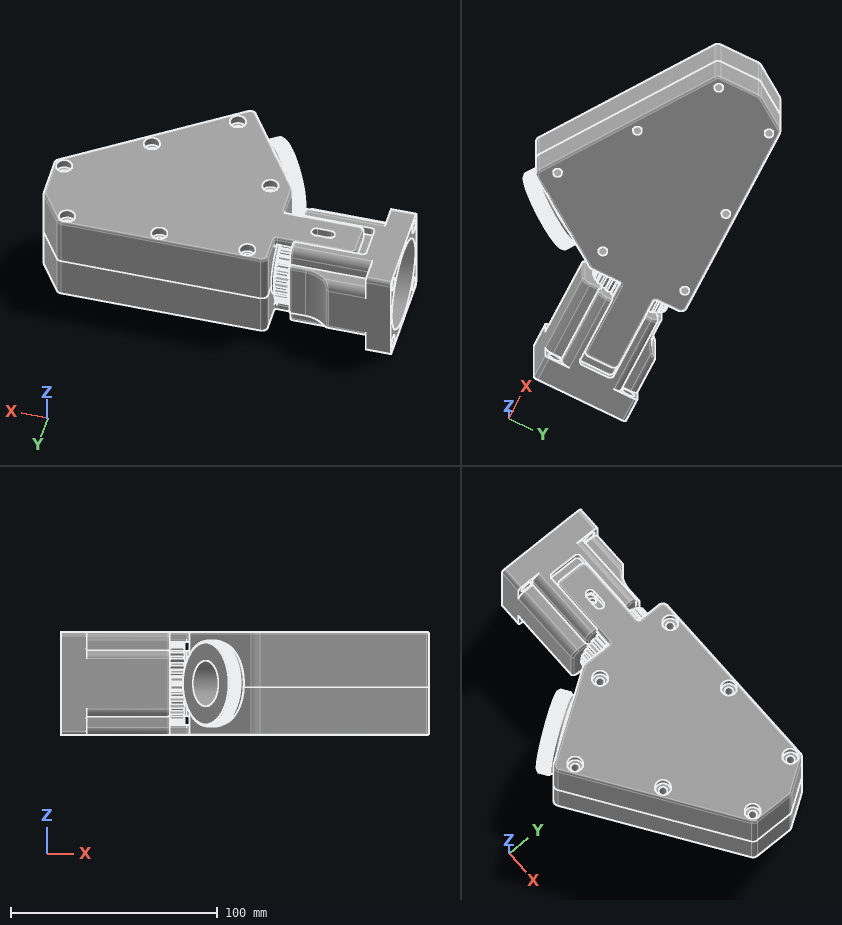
import cadquery as cq
import math

length = 177.9
height = 50.0
half = height / 2
edge_round = 1.0
pick_margin = 0.2

flange_thickness = 12.5
flange_edge_round = 2.0
bracket_end = 52.6
notch_inner = 16.0
notch_round = 4.0
spigot_radius = 22.4
spigot_depth = 12.0
input_bore_radius = 8.2
screw_hole_radius = 3.2
flange_screw_offset = 20.0
face_screw_offset = 15.0
scoop_radius = 15.0
scoop_depth = 6.8
scoop_center_x = 44.3
clamp_hole_x = 37.2
clamp_hole_radius = 2.8

tab_start = 21.5
tab_half_width = 9.0
tab_thickness = 5.0
tab_corner_round = 3.0
tab_slot_start = 34.3
tab_slot_end = 45.9
tab_slot_width = 4.6
pocket_start = 16.5
pocket_corner_round = 2.0

housing_start = 61.9
housing_round = 3.0
tilt = math.radians(56)
output_face_top_y = -25.6
tip_y = -72.4
chamfer_top_x = 166.1
split_z = -1.8
lip_width = 3.5

screw_clearance_radius = 2.1
counterbore_radius = 4.0
counterbore_depth = 5.0
screw_inset = 5.0
left_screw_inset = 10.8
upper_screw_xs = (72.7, 116.7, 162.7)
left_screw_y = -24.4
long_side_inset = 5.7
long_side_stations = (10.1, 54.2, 99.2)

gear_teeth = 32
gear_radius = 20.0
gear_root_radius = 17.3
gear_width = 7.1
gear_end = bracket_end + gear_width
gear_chamfer = 0.5
gear_root_share = 0.2
gear_tip_share = 0.4
sleeve_radius = 16.2
sleeve_groove_depth = 0.7

ring_front_x = 69.9
ring_front_y = -55.1
ring_radius = 20.8
ring_root_radius = 20.3
ring_teeth = 120
ring_chamfer = 1.0
knurl_width = 7.1
knurl_flat_share = 0.1
output_bore_radius = 11.0
output_tube_radius = 16.2
output_tube_depth = 42.7

output_bore_depth = 73.0
chamber_length = 35.5
groove_radius = 2.5
groove_from_corner = 4.0

axis_x = math.sin(tilt)
axis_y = math.cos(tilt)
face_x = math.cos(tilt)
face_y = -math.sin(tilt)

tip_x = housing_start + (output_face_top_y - tip_y) / math.tan(tilt)
long_side_end_y = tip_y + (length - tip_x) * axis_y / axis_x
chamfer_end_y = half - (length - chamfer_top_x) * math.tan(tilt)
ring_depth = (
    (housing_start - ring_front_x) * axis_x + (output_face_top_y - ring_front_y) * axis_y
)


def along_x(x, radius, depth):
    return cq.Workplane("YZ", origin=(x, 0, 0)).circle(radius).extrude(depth)


def output_plane(depth):
    """Plane square to the output axis, at a depth behind the ring's front face."""
    origin = (ring_front_x + depth * axis_x, ring_front_y + depth * axis_y, 0)
    return cq.Plane(origin=origin, xDir=(-face_x, -face_y, 0), normal=(axis_x, axis_y, 0))


def toothed_outline(teeth, root_radius, tip_radius, root_share, tip_share):
    """Tooth outline; the shares are the parts of a pitch that the root and tip flats take."""
    pitch = 2 * math.pi / teeth
    points = []
    for i in range(teeth):
        for radius, share in ((root_radius, -root_share), (root_radius, root_share)):
            points.append((radius, (i + share / 2) * pitch))
        for radius, share in ((tip_radius, -tip_share), (tip_radius, tip_share)):
            points.append((radius, (i + 0.5 + share / 2) * pitch))
    return [(r * math.cos(a), r * math.sin(a)) for r, a in points]


def chamfered_envelope(plane, radius, width, chamfer):
    return cq.Workplane(plane).circle(radius).extrude(width).edges().chamfer(chamfer)


def bracket_body():
    """Square body behind the flange, with its four corners notched out and a scoop on the +Y side."""
    body = (
        cq.Workplane("YZ", origin=(flange_thickness, 0, 0)).rect(height, height)
        .extrude(bracket_end - flange_thickness)
    )
    corner = half + notch_inner
    notches = (
        cq.Workplane("YZ", origin=(flange_thickness, 0, 0))
        .rect(corner, corner, forConstruction=True).vertices()
        .rect(half - notch_inner, half - notch_inner)
        .extrude(bracket_end - flange_thickness)
    )
    body = body.cut(notches)
    outer_edges = body.edges("|X").filter(
        lambda e: max(abs(e.Center().y), abs(e.Center().z)) > half - pick_margin
    )
    body = body.newObject(outer_edges.vals()).fillet(notch_round)
    scoop_floor = half - scoop_depth
    scoop = (
        cq.Workplane("XY", origin=(0, 0, -half))
        .center(scoop_center_x, scoop_floor + scoop_radius).circle(scoop_radius).extrude(height)
    )
    run_out = (
        cq.Workplane("XY", origin=(0, 0, -half)).moveTo(scoop_center_x, scoop_floor)
        .lineTo(bracket_end, scoop_floor).lineTo(bracket_end, half + scoop_radius)
        .lineTo(scoop_center_x, half + scoop_radius).close().extrude(height)
    )
    body = body.cut(scoop).cut(run_out)
    lip_edges = body.edges("not |Z").filter(
        lambda e: scoop_floor - pick_margin < e.Center().y < half - pick_margin
        and abs(e.Center().z) < notch_inner + pick_margin
        and flange_thickness + pick_margin < e.Center().x < bracket_end - pick_margin
        and (e.geomType() != "LINE" or e.Center().y < scoop_floor + pick_margin)
    )
    end_edges = body.faces(">X").edges()
    return body.newObject(end_edges.vals() + lip_edges.vals()).fillet(edge_round)


def make_bracket():
    flange = (
        cq.Workplane("YZ").rect(height, height).extrude(flange_thickness)
        .edges("|X").fillet(flange_edge_round)
    )
    bracket = flange.union(bracket_body())
    bracket = bracket.cut(along_x(0, spigot_radius, spigot_depth))
    bracket = bracket.cut(along_x(0, input_bore_radius, bracket_end))
    flange_screws = (
        cq.Workplane("YZ").rect(2 * flange_screw_offset, 2 * flange_screw_offset, forConstruction=True)
        .vertices().circle(screw_hole_radius).extrude(flange_thickness)
    )
    face_screws = (
        cq.Workplane("YZ").pushPoints([(0, face_screw_offset), (0, -face_screw_offset)])
        .circle(screw_hole_radius).extrude(bracket_end)
    )
    bracket = bracket.cut(flange_screws).cut(face_screws)

    for z in (half - tab_thickness, -half):
        pocket = (
            cq.Workplane("XY", origin=(0, 0, z))
            .moveTo((pocket_start + housing_start) / 2, 0)
            .rect(housing_start - pocket_start, 2 * tab_half_width).extrude(tab_thickness)
            .edges("|Z and <X").fillet(pocket_corner_round)
        )
        bracket = bracket.cut(pocket)
    clamp_hole = (
        cq.Workplane("XY").center(clamp_hole_x, 0).circle(clamp_hole_radius).extrude(half)
    )
    return bracket.cut(clamp_hole)


def tab_underside_rounding():
    """Waste to take off the long inner edges of both tabs so that they end rounded."""
    run = housing_start - edge_round
    round_y = tab_half_width - edge_round
    round_z = half - tab_thickness + edge_round
    waste = cq.Workplane("YZ")
    for side_y in (-1, 1):
        for side_z in (-1, 1):
            corner = (
                cq.Workplane("YZ")
                .moveTo(side_y * (round_y + edge_round / 2), side_z * (round_z - edge_round / 2))
                .rect(edge_round, edge_round).extrude(run)
            )
            rounding = (
                cq.Workplane("YZ").moveTo(side_y * round_y, side_z * round_z)
                .circle(edge_round).extrude(run)
            )
            waste = waste.add(corner.cut(rounding))
    return waste.combine()


def housing_block():
    """Both housing halves together, with the tabs, before boring and splitting."""
    outline = [
        (housing_start, half),
        (chamfer_top_x, half),
        (length, chamfer_end_y),
        (length, long_side_end_y),
        (tip_x, tip_y),
        (housing_start, output_face_top_y),
    ]
    main = (
        cq.Workplane("XY", origin=(0, 0, -half)).polyline(outline).close().extrude(height)
        .edges("|Z").fillet(housing_round)
    )
    tab = (
        cq.Workplane("XY", origin=(0, 0, -half))
        .moveTo((tab_start + housing_start + housing_round) / 2, 0)
        .rect(housing_start + housing_round - tab_start, 2 * tab_half_width).extrude(height)
        .edges("|Z and <X").fillet(tab_corner_round)
    )
    block = main.union(tab)
    inner_corners = cq.selectors.BoxSelector(
        (housing_start - pick_margin, -tab_half_width - pick_margin, -half),
        (housing_start + pick_margin, tab_half_width + pick_margin, half),
    )
    block = block.edges("|Z").edges(inner_corners).fillet(edge_round)
    block = block.faces("<Z or >Z").edges().fillet(edge_round)
    between_tabs = cq.Workplane("XY").box(
        housing_start, height, height - 2 * tab_thickness, centered=(False, True, True)
    )
    return block.cut(between_tabs).cut(tab_underside_rounding())


def chamber(margin, bottom, top):
    """Box square to the output axis, behind the output bore, grown by a margin in plan."""
    side = 2 * (output_bore_radius + margin)
    return (
        cq.Workplane(output_plane(output_bore_depth - margin))
        .center(0, (bottom + top) / 2).rect(side, top - bottom)
        .extrude(chamber_length + 2 * margin)
    )


def screw_positions():
    points = [(x, half - screw_inset) for x in upper_screw_xs]
    points.append((housing_start + left_screw_inset, left_screw_y))
    for station in long_side_stations:
        x = tip_x + station * axis_x - long_side_inset * face_x
        y = tip_y + station * axis_y - long_side_inset * face_y
        points.append((x, y))
    return points


def bored_housing():
    block = housing_block()
    block = block.cut(along_x(housing_start, input_bore_radius, tip_x))
    output_bore = cq.Workplane(output_plane(0)).circle(output_bore_radius).extrude(output_bore_depth)
    tube_seat = cq.Workplane(output_plane(0)).circle(output_tube_radius).extrude(output_tube_depth)
    block = block.cut(output_bore).cut(tube_seat)
    block = block.cut(chamber(0, -output_bore_radius, output_bore_radius))
    screws = cq.Workplane("XY", origin=(0, 0, -half)).pushPoints(screw_positions())
    block = block.cut(screws.circle(screw_clearance_radius).extrude(height))
    counterbores = cq.Workplane("XY", origin=(0, 0, half)).pushPoints(screw_positions())
    return block.cut(counterbores.circle(counterbore_radius).extrude(-counterbore_depth))


def lower_region():
    """Space of the lower housing half: below the split, plus a locating lip round the chamber."""
    below = (
        cq.Workplane("XY", origin=(length / 2, 0, -half))
        .rect(2 * length, 2 * length).extrude(half + split_z)
    )
    return below.union(chamber(lip_width, -half, 0))


def make_upper_housing():
    slot = (
        cq.Workplane("XY", origin=((tab_slot_start + tab_slot_end) / 2, 0, 0))
        .slot2D(tab_slot_end - tab_slot_start, tab_slot_width).extrude(half)
    )
    return bored_housing().cut(lower_region()).cut(slot)


def make_lower_housing():
    offset = groove_from_corner - output_bore_radius
    end_plane = output_plane(output_bore_depth + chamber_length)
    groove_center = end_plane.toWorldCoords((offset, -output_bore_radius, 0))
    groove = (
        cq.Workplane("XY", origin=groove_center.toTuple())
        .circle(groove_radius).extrude(output_bore_radius)
    )
    return bored_housing().intersect(lower_region()).cut(groove)


def make_gear():
    plane = cq.Plane.YZ(origin=(bracket_end, 0, 0))
    outline = toothed_outline(gear_teeth, gear_root_radius, gear_radius, gear_root_share, gear_tip_share)
    teeth = cq.Workplane(plane).polyline(outline).close().extrude(gear_width)
    gear = teeth.intersect(chamfered_envelope(plane, gear_radius, gear_width, gear_chamfer))
    return gear.cut(along_x(bracket_end, input_bore_radius, gear_width))


def make_sleeve():
    groove_x = (gear_end + housing_start) / 2
    groove_bottom = sleeve_radius - sleeve_groove_depth
    profile = [
        (gear_end, input_bore_radius),
        (gear_end, sleeve_radius),
        (groove_x, groove_bottom),
        (housing_start, sleeve_radius),
        (housing_start, input_bore_radius),
    ]
    return cq.Workplane("XY").polyline(profile).close().revolve(360, (0, 0, 0), (1, 0, 0))


def make_output_ring():
    front = output_plane(0)
    outline = toothed_outline(ring_teeth, ring_root_radius, ring_radius, knurl_flat_share, knurl_flat_share)
    knurl = cq.Workplane(front).polyline(outline).close().extrude(knurl_width)
    knurl = knurl.intersect(chamfered_envelope(front, ring_radius, knurl_width, ring_chamfer))
    collar_radius = ring_radius - ring_chamfer
    collar = chamfered_envelope(front, collar_radius, ring_depth, ring_chamfer)
    tube = cq.Workplane(front).circle(output_tube_radius).extrude(output_tube_depth)
    bore = cq.Workplane(front).circle(output_bore_radius).extrude(output_tube_depth)
    return knurl.union(collar).union(tube).cut(bore)


bracket = make_bracket()
upper_housing = make_upper_housing()
lower_housing = make_lower_housing()
gear = make_gear()
sleeve = make_sleeve()
output_ring = make_output_ring()

result = cq.Compound.makeCompound([
    bracket.val(),
    upper_housing.val(),
    lower_housing.val(),
    gear.val(),
    sleeve.val(),
    output_ring.val(),
])